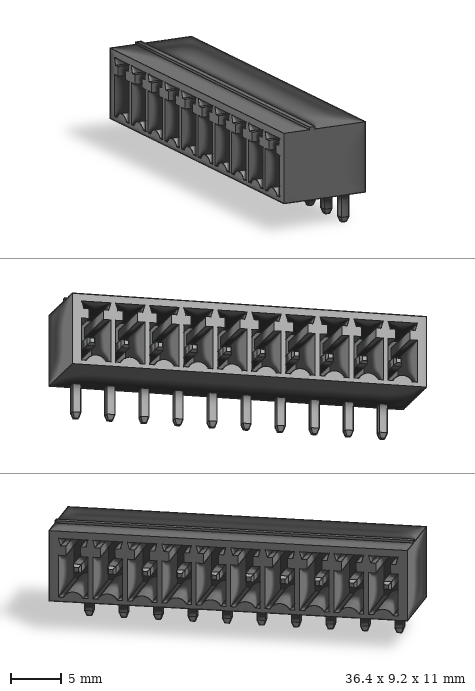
import cadquery as cq


contact_count = 10
pitch = 3.5

housing_length = 36.4
housing_depth = 9.2
housing_height = 7.25

rib_front = 2.9
rib_width = 0.6
rib_height = 0.25

cavity_depth = 7.5
cavity_width = 3.0
cavity_floor = 0.45
shoulder_height = 4.75
neck_width = 1.5
flare_bottom = 5.75
flare_bottom_width = 2.55
cavity_top = 6.5
floor_bump_rise = 0.6
floor_bump_radius = 1.15

pin_width = 0.84
pin_tip_width = 0.45
pin_tip_length = 0.55
pin_axis_height = 2.95
contact_setback = 1.5
tail_length = 3.45
tail_to_back = 1.2

tail_y = housing_depth - tail_to_back
contact_positions = [(i - (contact_count - 1) / 2) * pitch for i in range(contact_count)]


def make_housing():
    """Plain block with the rib running the full length of its top."""
    block = cq.Workplane("XY").box(
        housing_length, housing_depth, housing_height, centered=(True, False, False)
    )
    rib = (
        cq.Workplane("XY")
        .box(housing_length, rib_width, rib_height, centered=(True, False, False))
        .translate((0, rib_front, housing_height))
    )
    return block.union(rib)


def make_cavity():
    """Keyed pocket: wide chamber, narrow neck and dovetail slot, with a rounded floor ridge."""
    half_width = cavity_width / 2
    half_neck = neck_width / 2
    half_flare = flare_bottom_width / 2
    bump_top = cavity_floor + floor_bump_rise
    bump_drop = floor_bump_radius - floor_bump_rise
    half_bump = (floor_bump_radius**2 - bump_drop**2) ** 0.5
    return (
        cq.Workplane("XZ")
        .moveTo(-half_width, cavity_floor)
        .lineTo(-half_bump, cavity_floor)
        .threePointArc((0, bump_top), (half_bump, cavity_floor))
        .lineTo(half_width, cavity_floor)
        .lineTo(half_width, shoulder_height)
        .lineTo(half_neck, shoulder_height)
        .lineTo(half_neck, flare_bottom)
        .lineTo(half_flare, flare_bottom)
        .lineTo(half_width, cavity_top)
        .lineTo(-half_width, cavity_top)
        .lineTo(-half_flare, flare_bottom)
        .lineTo(-half_neck, flare_bottom)
        .lineTo(-half_neck, shoulder_height)
        .lineTo(-half_width, shoulder_height)
        .close()
        .extrude(-cavity_depth)
    )


def make_bar(length):
    """Square bar rising from Z = 0, its lower end tapered to the tip width."""
    tip = (
        cq.Workplane("XY")
        .rect(pin_tip_width, pin_tip_width)
        .workplane(offset=pin_tip_length)
        .rect(pin_width, pin_width)
        .loft(ruled=True)
    )
    shank = (
        cq.Workplane("XY", origin=(0, 0, pin_tip_length))
        .rect(pin_width, pin_width)
        .extrude(length - pin_tip_length)
    )
    return tip.union(shank)


def make_pin():
    """Contact reaching forward into the cavity and tail reaching below the board plane."""
    half_pin = pin_width / 2
    contact = (
        make_bar(tail_y + half_pin - contact_setback)
        .rotate((0, 0, 0), (1, 0, 0), -90)
        .translate((0, contact_setback, pin_axis_height))
    )
    tail = make_bar(tail_length + pin_axis_height + half_pin).translate((0, tail_y, -tail_length))
    return contact.union(tail)


housing = make_housing()
cavity = make_cavity()
pin = make_pin()

for x in contact_positions:
    housing = housing.cut(cavity.translate((x, 0, 0)))
for x in contact_positions:
    housing = housing.union(pin.translate((x, 0, 0)))

result = housing